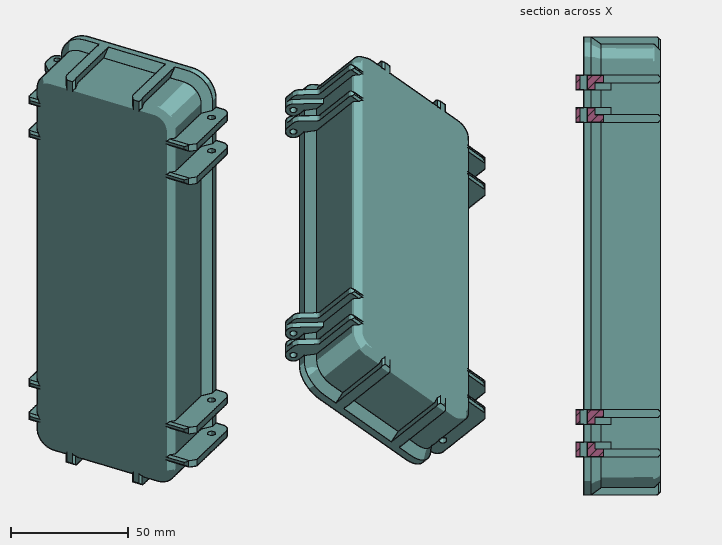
import cadquery as cq
import math

body_length = 194.5
rim_width = 73.5
overall_depth = 36.0
body_depth = 32.7
rim_corner_radius = 11.7
rim_thickness = 3.1
wall_inset = 3.1
flare_end = 25.3
face_chamfer = 2.7
face_edge_fillet = 1.0

rib_chamfer = 1.0
rib_tip_bevel = 1.4
rib_tip_fillet = 1.2

lug_reach = 43.8
lug_thickness = 3.3
pair_centre = 71.0
pair_outer_span = 20.0

knuckle_diameter = 6.8
knuckle_width = 6.2
hinge_hole_diameter = 3.0
hinge_heel_y = 27.6
hinge_heel_radius = 3.3
hinge_foot_radius = 1.0

latch_corner_radius = 3.7
latch_bevel = 3.3
latch_hole_diameter = 3.3
latch_hole_x = 39.1
latch_hole_y = 24.5

end_rib_spacing = 32.3
end_rib_width = 4.7

rib_root = 7.8

flat_tolerance = 0.02

rim_half = rim_width / 2
half_length = body_length / 2
rim_start = body_depth - rim_thickness
wall_width = rim_width - 2 * wall_inset
wall_length = body_length - 2 * wall_inset
wall_corner_radius = rim_corner_radius - wall_inset
knuckle_radius = knuckle_diameter / 2
knuckle_x = -lug_reach + knuckle_radius
knuckle_y = overall_depth - knuckle_radius
lug_offset = (pair_outer_span - lug_thickness) / 2
knuckle_offset = (pair_outer_span - knuckle_width) / 2


def rounded_plate(width, length, radius, y_back, depth, taper=0.0):
    """Rounded rectangle extruded from y_back toward -Y."""
    outline = cq.Sketch().rect(width, length).vertices().fillet(radius)
    plane = cq.Workplane("XZ", origin=(0, y_back, 0))
    return plane.placeSketch(outline).extrude(depth, taper=taper)


def make_body():
    """Box with a bevelled, softened face edge, flaring out to a rim at the back."""
    walls = rounded_plate(wall_width, wall_length, wall_corner_radius, body_depth, body_depth)
    walls = walls.faces("<Y").chamfer(face_chamfer)
    level_edges = walls.edges().filter(lambda edge: edge.BoundingBox().ylen < flat_tolerance)
    bevel_edges = level_edges.filter(lambda edge: edge.Center().y < face_chamfer + flat_tolerance)
    walls = bevel_edges.fillet(face_edge_fillet)
    flare_depth = rim_start - flare_end
    flare_angle = math.degrees(math.atan2(wall_inset, flare_depth))
    flare = rounded_plate(rim_width, body_length, rim_corner_radius, rim_start, flare_depth, flare_angle)
    rim = rounded_plate(rim_width, body_length, rim_corner_radius, body_depth, rim_thickness)
    return walls.union(flare).union(rim)


def slab(outline, thickness, z):
    """Extrude an XY outline symmetrically about height z."""
    return outline.extrude(thickness / 2, both=True).translate((0, 0, z))


def fillet_at(solid, edge_point, radius):
    """Fillet the one edge whose middle is at edge_point."""
    return solid.edges(cq.NearestToPointSelector(edge_point)).fillet(radius)


def hinge_rib(z):
    """Rib down the side wall that swells into a 45 degree hinge arm."""
    foot_y = hinge_heel_y - (lug_reach - rim_half)
    outline = (
        cq.Workplane("XY")
        .moveTo(-rim_half + rib_root, 0)
        .lineTo(-rim_half + rib_tip_bevel, 0)
        .lineTo(-rim_half, rib_tip_bevel)
        .lineTo(-rim_half, foot_y)
        .lineTo(-lug_reach, hinge_heel_y)
        .lineTo(-lug_reach, knuckle_y)
        .threePointArc((knuckle_x, knuckle_y + knuckle_radius), (knuckle_x + knuckle_radius, knuckle_y))
        .lineTo(knuckle_x + knuckle_radius, rim_start)
        .lineTo(-rim_half + rib_root, rim_start)
        .close()
    )
    rib = slab(outline, lug_thickness, z)
    rib = fillet_at(rib, (-lug_reach, hinge_heel_y, z), hinge_heel_radius)
    rib = fillet_at(rib, (-rim_half, foot_y, z), hinge_foot_radius)
    rib = fillet_at(rib, (-rim_half, rib_tip_bevel, z), rib_tip_fillet)
    return rib.faces("<Y").edges("|X").chamfer(rib_chamfer)


def hinge_knuckle(z):
    """Wider knuckle: a round end with a tangent 45 degree flank down to the wall."""
    tangent = knuckle_radius * math.sqrt(0.5)
    flank_x = knuckle_x - tangent
    flank_y = knuckle_y - tangent
    wall_x = -wall_width / 2
    outline = (
        cq.Workplane("XY")
        .moveTo(wall_x, flank_y - (wall_x - flank_x))
        .lineTo(flank_x, flank_y)
        .threePointArc((knuckle_x - tangent, knuckle_y + tangent), (knuckle_x + knuckle_radius, knuckle_y))
        .lineTo(knuckle_x + knuckle_radius, rim_start)
        .lineTo(wall_x, rim_start)
        .close()
    )
    return slab(outline, knuckle_width, z)


def latch_lug(z):
    """Deep plate with a rounded back corner and a bevelled front corner."""
    outline = (
        cq.Workplane("XY")
        .moveTo(rim_half - rib_root, 0)
        .lineTo(lug_reach - latch_bevel, 0)
        .lineTo(lug_reach, latch_bevel)
        .lineTo(lug_reach, body_depth - latch_corner_radius)
        .radiusArc((lug_reach - latch_corner_radius, body_depth), -latch_corner_radius)
        .lineTo(rim_half - rib_root, body_depth)
        .close()
    )
    return slab(outline, lug_thickness, z).faces("<Y").chamfer(rib_chamfer)


def end_rib(x, end):
    """Rib across a short end wall, flush with the rim."""
    tip_z = end * half_length
    outline = (
        cq.Workplane("YZ")
        .moveTo(0, tip_z - end * rib_root)
        .lineTo(0, tip_z - end * rib_tip_bevel)
        .lineTo(rib_tip_bevel, tip_z)
        .lineTo(rim_start, tip_z)
        .lineTo(rim_start, tip_z - end * rib_root)
        .close()
    )
    rib = outline.extrude(end_rib_width / 2, both=True).translate((x, 0, 0))
    rib = fillet_at(rib, (x, rib_tip_bevel, tip_z), rib_tip_fillet)
    return rib.faces("<Y").edges("|Z").chamfer(rib_chamfer)


def pin_hole(x, y, diameter):
    """Cutter along the full length, for the lugs that stand clear of the body."""
    return cq.Workplane("XY").center(x, y).circle(diameter / 2).extrude(half_length, both=True)


result = make_body()

for end in (-1, 1):
    for side in (-1, 1):
        lug_z = end * pair_centre + side * lug_offset
        knuckle_z = end * pair_centre + side * knuckle_offset
        result = result.union(hinge_rib(lug_z))
        result = result.union(hinge_knuckle(knuckle_z))
        result = result.union(latch_lug(lug_z))
        result = result.union(end_rib(side * end_rib_spacing / 2, end))

result = result.cut(pin_hole(knuckle_x, knuckle_y, hinge_hole_diameter))
result = result.cut(pin_hole(latch_hole_x, latch_hole_y, latch_hole_diameter))